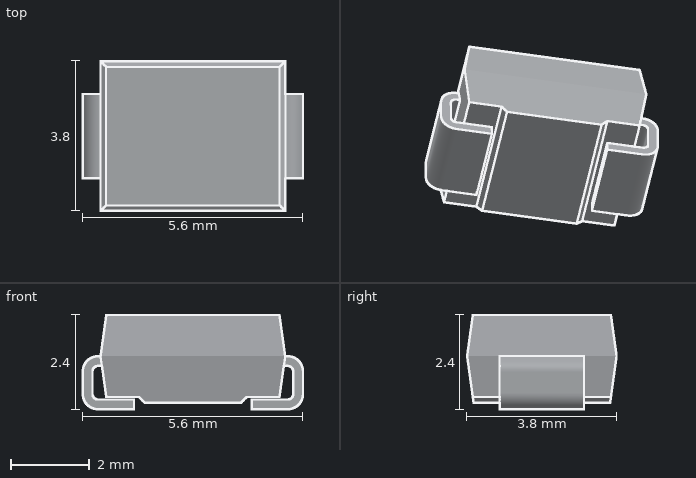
import cadquery as cq
import math

total_length = 5.6
total_height = 2.4

body_length = 4.69
body_width = 3.8
parting_z = 1.355
draft_inset = 0.145
draft_angle = math.degrees(math.atan(draft_inset / (total_height - parting_z)))

pad_bottom_z = 0.17
body_bottom_z = 0.315
pad_length = 2.44
pad_height = body_bottom_z - pad_bottom_z

lead_width = 2.145
lead_thickness = 0.25
bend_outer_radius = 0.4
bend_inner_radius = bend_outer_radius - lead_thickness
foot_gap = 2.98
lead_embed = 0.28


def make_body_half(height):
    """Drafted block rising (or falling, if negative) from the parting plane."""
    direction = math.copysign(1, height)
    plane = cq.Plane(origin=(0, 0, parting_z), xDir=(1, 0, 0), normal=(0, 0, direction))
    return cq.Workplane(plane).rect(body_length, body_width).extrude(abs(height), taper=draft_angle)


def make_end_relief(side):
    """Block removed beside the pad, sloping at 45 degrees up to the body underside."""
    pad_edge = pad_length / 2
    profile = [
        (side * pad_edge, pad_bottom_z),
        (side * (pad_edge + pad_height), body_bottom_z),
        (side * body_length / 2, body_bottom_z),
        (side * body_length / 2, pad_bottom_z),
    ]
    return cq.Workplane("XZ").polyline(profile).close().extrude(body_width / 2, both=True)


def make_lead():
    """C-shaped strip on the +X end: arm into the body, outer wall and foot."""
    outer_x = total_length / 2
    inner_x = outer_x - lead_thickness
    arm_start_x = body_length / 2 - lead_embed
    foot_start_x = foot_gap / 2

    outer = (
        cq.Workplane("XZ")
        .center((outer_x + foot_start_x) / 2, parting_z / 2)
        .rect(outer_x - foot_start_x, parting_z)
        .extrude(lead_width / 2, both=True)
        .edges("|Y and >X")
        .fillet(bend_outer_radius)
    )
    opening = (
        cq.Workplane("XZ")
        .center((inner_x + foot_start_x) / 2, parting_z / 2)
        .rect(inner_x - foot_start_x, parting_z - 2 * lead_thickness)
        .extrude(lead_width / 2, both=True)
        .edges("|Y and >X")
        .fillet(bend_inner_radius)
    )
    arm_trim = (
        cq.Workplane("XZ")
        .center((foot_start_x + arm_start_x) / 2, parting_z - lead_thickness / 2)
        .rect(arm_start_x - foot_start_x, lead_thickness)
        .extrude(lead_width / 2, both=True)
    )
    return outer.cut(opening).cut(arm_trim)


upper_body = make_body_half(total_height - parting_z)
lower_body = make_body_half(pad_bottom_z - parting_z)
for side in (-1, 1):
    lower_body = lower_body.cut(make_end_relief(side))

lead = make_lead()
result = upper_body.union(lower_body).union(lead).union(lead.mirror("YZ"))